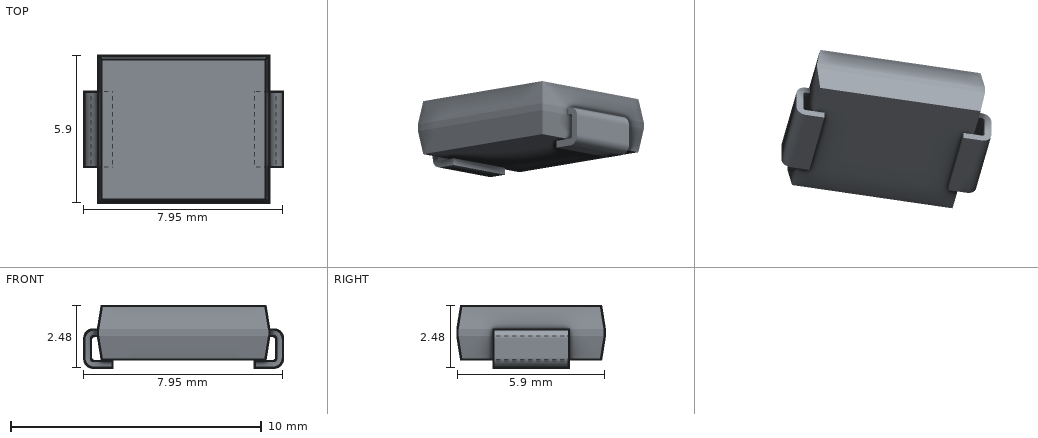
import cadquery as cq

overall_length = 7.95
height = 2.48
housing_length = 6.85
housing_width = 5.9
end_inset = 0.15
standoff = 0.325
lead_width = 3.01
lead_thickness = 0.28
foot_length = 1.14
outer_bend_radius = 0.38

band_middle = (height + standoff) / 2
band_bottom = band_middle - lead_thickness / 2
band_top = band_middle + lead_thickness / 2
inner_bend_radius = outer_bend_radius - lead_thickness
lead_outer_x = overall_length / 2
lead_inner_x = lead_outer_x - lead_thickness
housing_end_x = housing_length / 2
foot_end_x = lead_outer_x - foot_length


def housing_frustum(wide_z, narrow_z):
    """Tapered half of the housing, from the band edge to its narrow face."""
    return (
        cq.Workplane("XY", origin=(0, 0, wide_z))
        .rect(housing_length, housing_width)
        .workplane(offset=narrow_z - wide_z)
        .rect(housing_length - 2 * end_inset, housing_width - 2 * end_inset)
        .loft(ruled=True)
    )


def make_housing():
    """Moulded housing: a straight band between two tapered halves."""
    band = (
        cq.Workplane("XY", origin=(0, 0, band_bottom))
        .rect(housing_length, housing_width)
        .extrude(lead_thickness)
    )
    upper_half = housing_frustum(band_top, height)
    lower_half = housing_frustum(band_bottom, standoff)
    return band.union(upper_half).union(lower_half)


def make_lead():
    """C-shaped lead at the +X end, from the housing band down to the foot."""
    lead = (
        cq.Workplane("XZ")
        .moveTo(housing_end_x, band_top)
        .lineTo(lead_outer_x, band_top)
        .lineTo(lead_outer_x, 0)
        .lineTo(foot_end_x, 0)
        .lineTo(foot_end_x, lead_thickness)
        .lineTo(lead_inner_x, lead_thickness)
        .lineTo(lead_inner_x, band_bottom)
        .lineTo(housing_end_x, band_bottom)
        .close()
        .extrude(lead_width / 2, both=True)
    )
    outer_corners = cq.selectors.BoxSelector(
        (lead_outer_x - lead_thickness / 2, -lead_width, -lead_thickness),
        (lead_outer_x + lead_thickness / 2, lead_width, height),
    )
    inner_corners = cq.selectors.BoxSelector(
        (lead_inner_x - lead_thickness / 2, -lead_width, lead_thickness / 2),
        (lead_inner_x + lead_thickness / 2, lead_width, band_top - lead_thickness / 2),
    )
    lead = lead.edges("|Y").edges(outer_corners).fillet(outer_bend_radius)
    return lead.edges("|Y").edges(inner_corners).fillet(inner_bend_radius)


housing = make_housing()
leads = []
for end_angle in (0, 180):
    leads.append(make_lead().rotate((0, 0, 0), (0, 0, 1), end_angle).val())

result = cq.Compound.makeCompound([housing.val(), *leads])